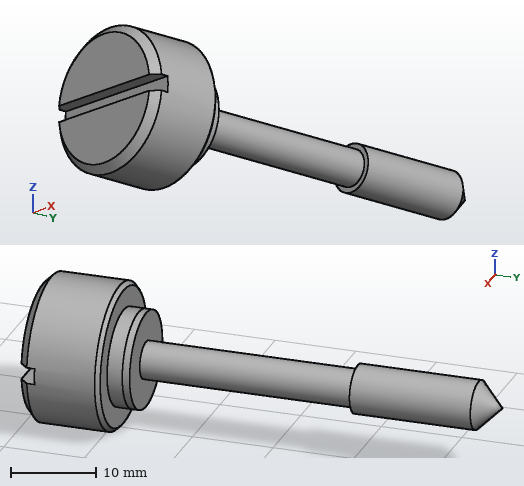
import cadquery as cq

total_length = 57.0
head_face_y = -total_length / 2
tip_y = total_length / 2

head_diameter = 18.0
head_length = 10.0
face_chamfer = 1.0
back_chamfer = 0.5
slot_width = 2.0
slot_depth = 2.0

collar_diameter = 11.95
collar_length = 1.9
washer_thickness = 0.9

shank_diameter = 4.6
end_diameter = 6.0
end_length = 15.0
point_length = end_diameter / 2

collar_y = head_face_y + head_length
washer_y = collar_y + collar_length
end_cylinder_tip_y = tip_y - point_length
end_cylinder_start_y = end_cylinder_tip_y - end_length


def make_screw():
    """Head, collar, shank and pointed end turned about Y, then slotted."""
    head_radius = head_diameter / 2
    collar_radius = collar_diameter / 2
    shank_radius = shank_diameter / 2
    end_radius = end_diameter / 2
    turned = (
        cq.Workplane("XY")
        .moveTo(0, head_face_y)
        .lineTo(head_radius - face_chamfer, head_face_y)
        .lineTo(head_radius, head_face_y + face_chamfer)
        .lineTo(head_radius, collar_y - back_chamfer)
        .lineTo(head_radius - back_chamfer, collar_y)
        .lineTo(collar_radius, collar_y)
        .lineTo(collar_radius, washer_y)
        .lineTo(shank_radius, washer_y)
        .lineTo(shank_radius, end_cylinder_start_y)
        .lineTo(end_radius, end_cylinder_start_y)
        .lineTo(end_radius, end_cylinder_tip_y)
        .lineTo(0, tip_y)
        .close()
        .revolve(360, (0, 0, 0), (0, 1, 0))
    )
    slot = (
        cq.Workplane("XY")
        .box(head_diameter, slot_depth, slot_width, centered=(True, False, True))
        .translate((0, head_face_y, 0))
    )
    return turned.cut(slot)


def make_washer():
    """Flat ring around the shank, seated on the collar."""
    return (
        cq.Workplane("XZ", origin=(0, washer_y, 0))
        .circle(collar_diameter / 2)
        .circle(shank_diameter / 2)
        .extrude(-washer_thickness)
    )


screw = make_screw()
washer = make_washer()

result = cq.Compound.makeCompound([screw.val(), washer.val()])